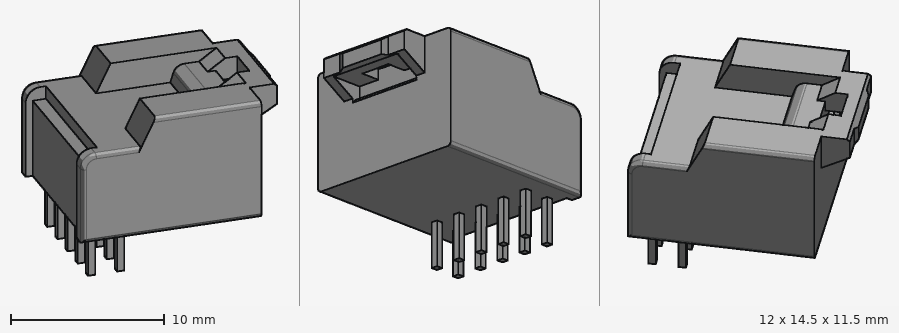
import cadquery as cq
import math


width = 12.0
depth = 12.4
height = 8.3
deck_height = 6.3
edge_radius = 0.3
deck_front_radius = 1.0

shoulder_foot_y = 4.1
shoulder_slope = 2.0

channel_width = 5.74
step_foot_y = 9.21
step_height = height - 0.8
step_front_angle = 72
step_radius = 0.8
back_slope_length = 1.2

recess_width = 10
recess_depth = 0.48
ledge_height = 5.4
ledge_depth = 0.91

latch_width = 7.25
latch_back_y = 14.5
latch_wing_back_y = 14.3
latch_root_height = 5.73
latch_underside_angle = 30
latch_chamfer_length = 0.4
latch_chamfer_drop = 0.33
bump_base_width = 4.38
bump_tip_width = 3.45

window_width = 2.35
window_back_y = 13.24

hollow_width = channel_width
hollow_depth = 0.65
hollow_ceiling = 6.75
hollow_floor = latch_root_height
hollow_chamfer = 0.3

pin_columns = 5
pin_rows = 2
pin_pitch = 2.0
pin_size = 0.5
pin_length = 3.2
front_pin_y = 1.3


def side_extrusion(outline, extent):
    """Extrude a closed (Y, Z) sketch symmetrically along X."""
    return outline.close().extrude(extent / 2, both=True)


def box_between(extent_x, y_range, z_range):
    """Box centred in X that spans the given Y and Z ranges."""
    size_y = y_range[1] - y_range[0]
    size_z = z_range[1] - z_range[0]
    box = cq.Workplane("XY").box(extent_x, size_y, size_z, centered=(True, False, False))
    return box.translate((0, y_range[0], z_range[0]))


def make_deck_block():
    """Full-depth lower block with a rounded front top edge and rounded side edges."""
    block = box_between(width, (0, depth), (0, deck_height))
    block = block.edges("<Y and >Z").fillet(deck_front_radius)
    side_edges = block.faces("<X or >X").edges("not >Y")
    return side_edges.fillet(edge_radius)


def make_shoulder_block():
    """Full-height rear block with rounded long edges, cut off by the shoulder slope."""
    block = box_between(width, (0, depth), (0, height)).edges("|Y").fillet(edge_radius)
    slope_end_z = deck_height - edge_radius
    slope_end_y = shoulder_foot_y - edge_radius / shoulder_slope
    shoulder_top_y = shoulder_foot_y + (height - deck_height) / shoulder_slope
    profile = (
        cq.Workplane("YZ")
        .moveTo(slope_end_y, 0)
        .lineTo(slope_end_y, slope_end_z)
        .lineTo(shoulder_top_y, height)
        .lineTo(depth, height)
        .lineTo(depth, 0)
    )
    return block.intersect(side_extrusion(profile, width))


def make_channel():
    """Space above the deck, the step and the slope behind it."""
    angle = math.radians(step_front_angle)
    arc_low_z = step_height - step_radius * (1 - math.cos(angle))
    arc_low_y = step_foot_y + (arc_low_z - deck_height) / math.tan(angle)
    arc_top_y = arc_low_y + step_radius * math.sin(angle)
    arc_mid_y = arc_top_y - step_radius * math.sin(angle / 2)
    arc_mid_z = step_height - step_radius * (1 - math.cos(angle / 2))
    profile = (
        cq.Workplane("YZ")
        .moveTo(0, deck_height)
        .lineTo(step_foot_y, deck_height)
        .lineTo(arc_low_y, arc_low_z)
        .threePointArc((arc_mid_y, arc_mid_z), (arc_top_y, step_height))
        .lineTo(depth - back_slope_length, step_height)
        .lineTo(depth, height)
        .lineTo(0, height)
    )
    return side_extrusion(profile, channel_width)


def make_front_recess():
    """Shallow front pocket that steps further back above the ledge."""
    pocket = box_between(recess_width, (0, recess_depth), (0, deck_height))
    above_ledge = box_between(recess_width, (0, recess_depth + ledge_depth), (ledge_height, deck_height))
    return pocket.union(above_ledge)


def make_latch():
    """Loop with a sloped underside, a chamfered back edge and a tapered bump in plan."""
    length = latch_back_y - depth
    underside_rise = length * math.tan(math.radians(latch_underside_angle))
    profile = (
        cq.Workplane("YZ")
        .moveTo(depth, latch_root_height)
        .lineTo(latch_back_y, latch_root_height + underside_rise)
        .lineTo(latch_back_y, height - latch_chamfer_drop)
        .lineTo(latch_back_y - latch_chamfer_length, height)
        .lineTo(depth, height)
    )
    plan = (
        cq.Workplane("XY")
        .moveTo(-latch_width / 2, depth)
        .lineTo(-latch_width / 2, latch_wing_back_y)
        .lineTo(-bump_base_width / 2, latch_wing_back_y)
        .lineTo(-bump_tip_width / 2, latch_back_y)
        .lineTo(bump_tip_width / 2, latch_back_y)
        .lineTo(bump_base_width / 2, latch_wing_back_y)
        .lineTo(latch_width / 2, latch_wing_back_y)
        .lineTo(latch_width / 2, depth)
        .close()
        .extrude(height)
    )
    return side_extrusion(profile, latch_width).intersect(plan)


def make_window():
    """Opening down through the latch and its front slope, and through the back of the step."""
    profile = (
        cq.Workplane("YZ")
        .moveTo(depth - back_slope_length, height)
        .lineTo(depth - back_slope_length, step_height)
        .lineTo(depth - hollow_depth, step_height)
        .lineTo(depth - hollow_depth, hollow_ceiling)
        .lineTo(window_back_y, hollow_ceiling)
        .lineTo(window_back_y, height)
    )
    return side_extrusion(profile, window_width)


def make_hollow():
    """Flat-topped space in the back of the housing that continues under the latch."""
    profile = (
        cq.Workplane("YZ")
        .moveTo(depth - hollow_depth, hollow_ceiling)
        .lineTo(depth - hollow_depth, hollow_floor)
        .lineTo(depth - hollow_chamfer, hollow_floor)
        .lineTo(depth, hollow_floor - hollow_chamfer)
        .lineTo(latch_back_y, hollow_floor - hollow_chamfer)
        .lineTo(latch_back_y, hollow_ceiling)
    )
    return side_extrusion(profile, hollow_width)


def make_pins():
    """Grid of square pins below the seating plane."""
    grid_centre_y = front_pin_y + pin_pitch * (pin_rows - 1) / 2
    return (
        cq.Workplane("XY")
        .center(0, grid_centre_y)
        .rarray(pin_pitch, pin_pitch, pin_columns, pin_rows)
        .rect(pin_size, pin_size)
        .extrude(-pin_length)
    )


housing = make_deck_block().union(make_shoulder_block())
housing = housing.cut(make_channel()).cut(make_front_recess())
housing = housing.union(make_latch()).cut(make_window()).cut(make_hollow())
result = housing.union(make_pins())